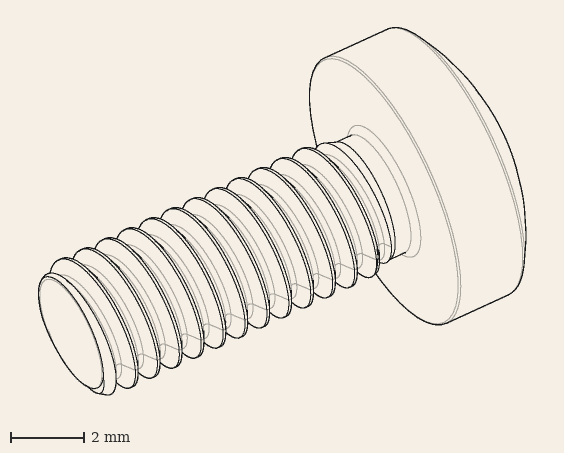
import cadquery as cq
import math

total_length = 13.1
head_diameter = 8.0
head_height = 3.1
dome_radius = 6.5
dome_flat_diameter = 4.25
head_rim_round = 0.1
head_bottom_round = 0.05

major_diameter = 4.01
neck_diameter = 3.54
neck_round = 0.2
tip_diameter = 3.46
tip_angle = 32.0
dish_diameter = 3.3
dish_depth = 0.07

turns_in_span = 12
crest_span = 8.4
pitch = crest_span / turns_in_span

head_radius = head_diameter / 2
major_radius = major_diameter / 2
neck_radius = neck_diameter / 2
tip_radius = tip_diameter / 2
dish_radius = dish_diameter / 2
shank_length = total_length - head_height

flank_slope = math.tan(math.radians(30))
triangle_height = pitch / 2 / flank_slope
flank_depth = 5 / 8 * triangle_height
root_half_width = pitch / 8
root_round = root_half_width / math.cos(math.radians(30))
root_depth = flank_depth + root_round / 2

full_turns = 13
runout_turns = 1
runout_start = -1.5 * pitch


def make_head():
    """Cylinder capped by a sphere that is cut flat on top."""
    top_radius = dome_flat_diameter / 2
    sphere_center = head_height - math.sqrt(dome_radius**2 - top_radius**2)
    rim_height = sphere_center + math.sqrt(dome_radius**2 - head_radius**2)
    mid_radius = (top_radius + head_radius) / 2
    mid_height = sphere_center + math.sqrt(dome_radius**2 - mid_radius**2)
    head = (
        cq.Workplane("XZ")
        .lineTo(head_radius, 0)
        .lineTo(head_radius, rim_height)
        .threePointArc((mid_radius, mid_height), (top_radius, head_height))
        .lineTo(0, head_height)
        .close()
        .revolve(360, (0, 0, 0), (0, 1, 0))
    )
    rim_edge = cq.selectors.NearestToPointSelector((0, 0, rim_height))
    head = head.edges(rim_edge).fillet(head_rim_round)
    return head.faces("<Z").edges().fillet(head_bottom_round)


def make_shank():
    """Unthreaded shank: filleted neck, tapered lead-in, chamfered and dished tip."""
    chamfer_height = (major_radius - tip_radius) / math.tan(math.radians(tip_angle))
    round_offset = neck_round * (1 - math.sqrt(0.5))
    return (
        cq.Workplane("XZ")
        .lineTo(neck_radius + neck_round, 0)
        .threePointArc(
            (neck_radius + round_offset, -round_offset),
            (neck_radius, -neck_round),
        )
        .lineTo(neck_radius, -pitch)
        .lineTo(major_radius, -2 * pitch)
        .lineTo(major_radius, chamfer_height - shank_length)
        .lineTo(tip_radius, -shank_length)
        .lineTo(dish_radius, -shank_length)
        .lineTo(0, dish_depth - shank_length)
        .close()
        .revolve(360, (0, 0, 0), (0, 1, 0))
    )


def sweep_groove(start_height, turns, taper=0):
    """Sweep the groove section along a right-hand helix starting on the +X side."""
    overshoot = triangle_height / 16
    outer_half_width = root_half_width + (flank_depth + overshoot) * flank_slope
    outer = major_radius + overshoot
    flank_end = major_radius - flank_depth
    section = (
        cq.Workplane("XZ")
        .moveTo(outer, start_height - outer_half_width)
        .lineTo(flank_end, start_height - root_half_width)
        .threePointArc(
            (major_radius - root_depth, start_height),
            (flank_end, start_height + root_half_width),
        )
        .lineTo(outer, start_height + outer_half_width)
        .close()
    )
    center = cq.Vector(0, 0, start_height)
    if taper:
        slant_pitch = pitch / math.cos(math.radians(taper))
        helix = cq.Wire.makeHelix(slant_pitch, turns * slant_pitch, major_radius, center, angle=taper)
    else:
        helix = cq.Wire.makeHelix(pitch, turns * pitch, major_radius, center)
    return section.sweep(cq.Workplane(helix), isFrenet=True)


runout_taper = math.degrees(math.atan(root_depth / (runout_turns * pitch)))
shank = make_shank().cut(sweep_groove(runout_start, runout_turns, runout_taper))
for turn in range(1, full_turns + 1):
    shank = shank.cut(sweep_groove(runout_start - turn * pitch, 1))
screw = shank.union(make_head())

result = screw.rotate((0, 0, 0), (1, 0, 0), -90)